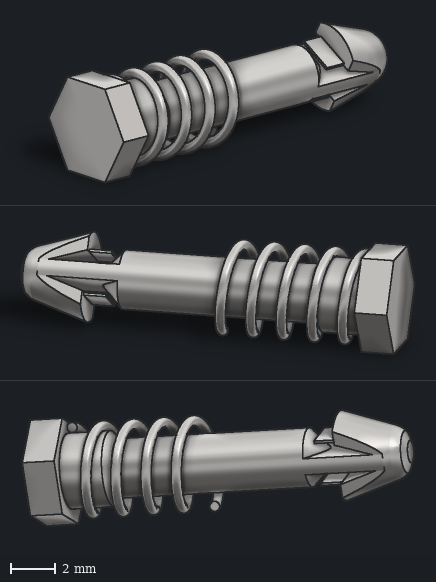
import cadquery as cq
import math


total_length = 17.54
hex_across_corners = 5.09
head_height = 1.5

collar_radius = 1.72
shaft_radius = 1.35
collar_end = 3.49
collar_chamfer = collar_radius - shaft_radius
shaft_end = 12.85

barb_angle = 60.0
barb_base = 14.42
barb_radius = 2.05
nose_start = 16.93
nose_start_radius = 1.25
bevel_start = 17.35
bevel_start_radius = 0.96
end_face_radius = 0.5
web_half_thickness = 0.39
slot_end = 16.14
barb_inner_offset = 0.95

tab_thickness = 0.12
tab_half_width = 0.91
tab_end = 13.38

wire_diameter = 0.47
coil_radius = 1.96
coil_pitch = 1.42
coil_turns = 4.5
coil_start_angle = 74.5

barb_half_width = math.sqrt(shaft_radius**2 - web_half_thickness**2)

barb_cos = math.cos(math.radians(barb_angle))
barb_sin = math.sin(math.radians(barb_angle))
barb_direction = cq.Vector(barb_cos, 0, barb_sin)
web_direction = cq.Vector(-barb_sin, 0, barb_cos)
axis_direction = cq.Vector(0, 1, 0)


def revolve_about_axis(points):
    """Solid of revolution about Y from (radius, y) points."""
    return cq.Workplane("XY").polyline(points).close().revolve(360, (0, 0, 0), (0, 1, 0))


def cross_section_plane(y):
    """Plane square to the axis: local X along the web, local Y towards the first barb."""
    return cq.Workplane(cq.Plane((0, y, 0), web_direction, axis_direction))


def make_hex_head():
    plane = cq.Workplane(cq.Plane((0, 0, 0), (1, 0, 0), axis_direction))
    return plane.polygon(6, hex_across_corners).extrude(head_height)


def make_shaft():
    """Stepped shaft at full radius right up to the tip."""
    return revolve_about_axis([
        (0, head_height),
        (collar_radius, head_height),
        (collar_radius, collar_end),
        (shaft_radius, collar_end + collar_chamfer),
        (shaft_radius, total_length),
        (0, total_length),
    ])


def make_nose_envelope():
    """Round-nosed, bevelled cone that bounds the web and the barbs, carried back to the head."""
    return (
        cq.Workplane("XY")
        .moveTo(0, head_height)
        .lineTo(barb_radius, head_height)
        .lineTo(barb_radius, barb_base)
        .lineTo(nose_start_radius, nose_start)
        .tangentArcPoint((bevel_start_radius, bevel_start), relative=False)
        .lineTo(end_face_radius, total_length)
        .lineTo(0, total_length)
        .close()
        .revolve(360, (0, 0, 0), (0, 1, 0))
    )


def make_web_relief():
    """Cut on the first barb's side of the web, with a 45 degree cone left at the shaft end."""
    relief_depth = barb_radius - web_half_thickness
    relief = (
        cross_section_plane(shaft_end)
        .center(0, web_half_thickness + relief_depth / 2)
        .rect(2 * barb_radius, relief_depth)
        .extrude(total_length - shaft_end)
    )
    shoulder = revolve_about_axis([
        (0, shaft_end),
        (shaft_radius, shaft_end),
        (0, shaft_end + shaft_radius),
    ])
    return relief.cut(shoulder)


def make_barb():
    """First barb before its cone is formed: a flat-sided block whose inner face slants away from the web."""
    side_plane = cq.Plane((0, 0, 0), barb_direction, web_direction)
    return (
        cq.Workplane(side_plane)
        .polyline([
            (web_half_thickness, slot_end),
            (barb_inner_offset, barb_base),
            (barb_radius, barb_base),
            (barb_radius, total_length),
            (web_half_thickness, total_length),
        ])
        .close()
        .extrude(barb_half_width, both=True)
    )


def make_tab():
    return (
        cross_section_plane(tab_end)
        .center(0, barb_inner_offset + tab_thickness / 2)
        .rect(2 * tab_half_width, tab_thickness)
        .extrude(barb_base - tab_end)
    )


def half_turn_pair(first):
    """A feature and its copy on the opposite side of the axis."""
    return [first, first.rotate((0, 0, 0), (0, 1, 0), 180)]


def make_pin():
    pin = make_shaft()
    for relief in half_turn_pair(make_web_relief()):
        pin = pin.cut(relief)
    for barb in half_turn_pair(make_barb().union(make_tab())):
        pin = pin.union(barb)
    return pin.intersect(make_nose_envelope()).union(make_hex_head())


def make_spring():
    """Left-hand coil whose first turn rests on the hexagonal head."""
    start = head_height + wire_diameter / 2
    path = cq.Wire.makeHelix(coil_pitch, coil_pitch * coil_turns, coil_radius, lefthand=True)
    coil = (
        cq.Workplane("XZ")
        .center(coil_radius, 0)
        .circle(wire_diameter / 2)
        .sweep(cq.Workplane(path), isFrenet=True)
    )
    return (
        coil.rotate((0, 0, 0), (1, 0, 0), -90)
        .rotate((0, 0, 0), (0, 1, 0), -coil_start_angle)
        .translate((0, start, 0))
    )


pin = make_pin()
spring = make_spring()

result = cq.Compound.makeCompound([pin.solids().val(), spring.solids().val()])